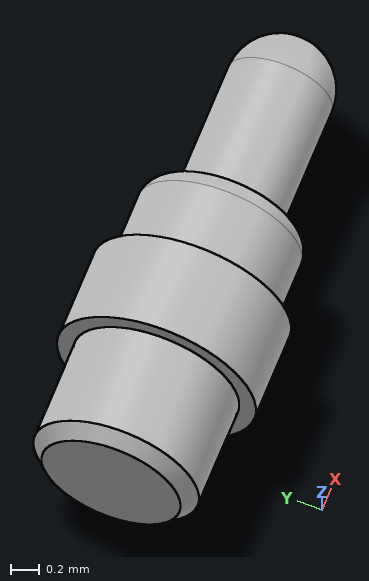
import cadquery as cq

total_length = 3.75
flange_diameter = 1.5
flange_start = 0.9
flange_width = 0.7
body_diameter = 1.25
body_length = 2.3
rear_chamfer = 0.1
front_fillet = 0.15
pin_diameter = 0.8


def cylinder_along_x(diameter, start, length):
    """Solid cylinder on the X axis, running toward +X from start."""
    return cq.Workplane("YZ", origin=(start, 0, 0)).circle(diameter / 2).extrude(length)


body = cylinder_along_x(body_diameter, 0, body_length)
body = body.faces("<X").edges().chamfer(rear_chamfer)
body = body.faces(">X").edges().fillet(front_fillet)

flange = cylinder_along_x(flange_diameter, flange_start, flange_width)

tip_radius = pin_diameter / 2
tip_center = total_length - tip_radius
shank = cylinder_along_x(pin_diameter, body_length, tip_center - body_length)
tip = (
    cq.Workplane("XY", origin=(tip_center, 0, 0))
    .lineTo(tip_radius, 0)
    .radiusArc((0, tip_radius), -tip_radius)
    .close()
    .revolve(360, (0, 0, 0), (1, 0, 0))
)

result = body.union(flange).union(shank).union(tip)